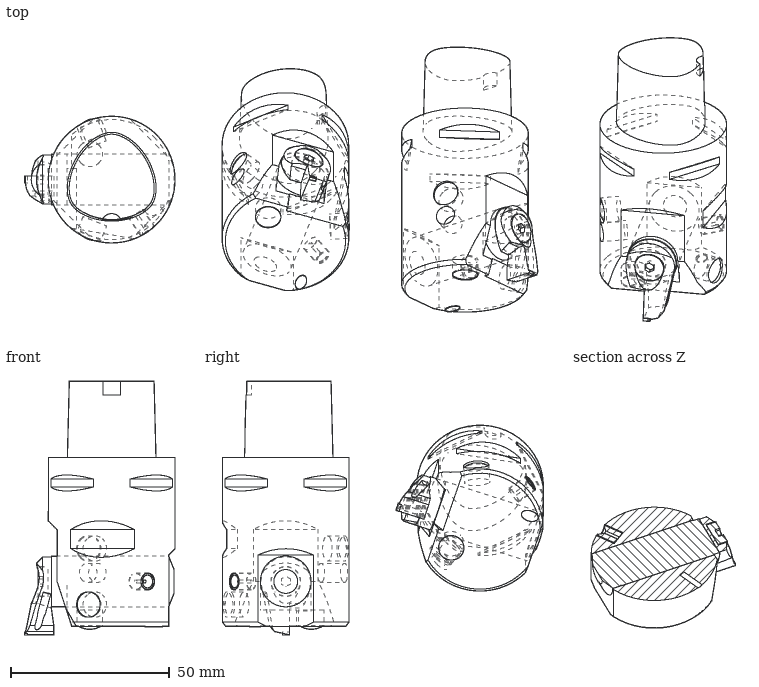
import cadquery as cq
import math


BODY_RADIUS = 20.0
BODY_LENGTH = 53.3
RIM_CHAMFER_RADIAL = 1.0
RIM_CHAMFER_AXIAL = 1.4

SHANK_LENGTH = 24.0
SHANK_BASE_RADIUS = 14.0
SHANK_TAPER = 0.025
LOBE_SWING = 1.8
LOBE_HEIGHT = LOBE_SWING / 2
LOBE_HALF_ANGLE = 29
POINTS_PER_FACE = 9
NOTCH_RADIUS = 3.2
NOTCH_DEPTH = 4.3
NOTCH_CENTER_Y = -13.9

SLOT_Z = -8.1
SLOT_FLOOR = 17.6
SLOT_FLOOR_HEIGHT = 2.5
SLOT_MOUTH_HEIGHT = 5.0
SLOT_ANGLES = (45, 135, 225, 315)
FLAT_FLOOR = 17.2
FLAT_TOP_Z = -20.0
FLAT_DEPTH = BODY_RADIUS - FLAT_FLOOR
CLAMP_FLAT_HEIGHT = 5.9
CLAMP_FLAT_ANGLE = 260.5
DIAL_FLAT_X = 18.0
DIAL_FLAT_TOP_Z = -28.8

BAR_RADIUS = 8.0
BAR_Z = -39.1
BAR_FRONT_X = -19.0
BAR_DIAL_X = 19.7
BAR_DIAL_RADIUS = 3.8
SEAT_X = -14.2

MAIN_SLOPE = 18
STEEP_SLOPE = 30
STEEP_TOP_Z = -47.6
STEEP_EDGE_Y = 3.4

PLUG_RADIUS = 4.0
PLUG_LENGTH = 4.8
DOME_HEIGHT = 1.3
SIDE_PLUG_REACH = 20.2
SIDE_PLUG_ANGLE = 22
FRONT_PLUG_Z = -46.4
BACK_PLUG_Z = -28.7
BOTTOM_PLUG_X = -6.9
BOTTOM_PLUG_Y = 8.1
BOTTOM_PLUG_REACH = 1.0
NOZZLE_ANGLE = -55
NOZZLE_RADIUS = 2.5
NOZZLE_HOLE_RADIUS = 2.6
NOZZLE_LENGTH = 6.4
NOZZLE_FACE = 19.7
NOZZLE_CONE_RADIUS = 2.0
NOZZLE_CONE_DEPTH = 1.5
NOZZLE_BORE_RADIUS = 0.5
SIDE_HOLE_DIAMETER = 6.0
SIDE_HOLE_Z = -36.4
SIDE_HOLE_DEPTH = 8.0
PAD_X = 13.3
PAD_Y = -9.7
PAD_HALF_LENGTH = 2.7
PAD_HALF_WIDTH = 1.7
PAD_HEIGHT = 0.2

HEAD_RADIUS = 7.8
FLANK_TOP_Z = -40.5
TIP_EDGE_Y = 1.2
TIP_Z = -56.0
TIP_X = -27.5
NIB_LENGTH = 1.0
TIP_RELIEF = 0.1
NIB_WIDTH = 2.2
NIB_HEIGHT = 1.0
BLANK_BOTTOM_Z = -58.4
CUTTER_HALF_WIDTH = 8.0
CUTTER_LEVELS = (
    (-29.6, -23.6, -21.3),
    (-34.4, -23.6, -21.3),
    (-39.2, -23.7, -21.4),
    (-44.0, -24.8, -22.4),
    (-48.8, -26.0, -23.4),
    (-53.6, -27.0, -24.1),
    (BLANK_BOTTOM_Z, -27.5, -24.5),
)
BACK_SLOPE_TOP_Z = BAR_Z - BAR_RADIUS
BACK_SLOPE_END_Z = -52.8
BACK_END_X = -18.2
BEVEL_START_X = -21.8
BEVEL_LENGTH = 2.4
LEDGE_FRONT_Z = -46.1
LEDGE_BACK_Z = -47.5
JAW_MIDDLE = (7.0, -43.6)
JAW_CORNER = (5.0, LEDGE_BACK_Z)
TIP_HEEL = (-3.5, -55.0)
FLANK_CORNER = (-5.1, -53.0)
LEDGE_FRONT_X = -23.2
CHANNEL_TOP = (-20.4, -7.3, -42.9)
CHANNEL_END = (-23.8, -4.9, -55.2)
CHANNEL_WIDE_DIAMETER = 2.5
CHANNEL_NARROW_DIAMETER = 2.0
CHANNEL_WIDE_LENGTH = 6.6
CHANNEL_STEP_LENGTH = 1.2

SCREW_DIAMETER = 9.2
SCREW_RADIUS = SCREW_DIAMETER / 2
COUNTERBORE_RADIUS = 4.7
SCREW_FACE_X = -23.3
SCREW_LENGTH = 3.2
HEX_CORNERS = 3.3
HEX_DEPTH = 1.6
RELIEF_LENGTH = 4.8
RELIEF_DROP = 5.2


def box(x0, x1, y0, y1, z0, z1):
    """Box between the given limits."""
    return cq.Workplane("XY").box(x1 - x0, y1 - y0, z1 - z0, centered=False).translate((x0, y0, z0))


def prism_along_y(points, y0, y1):
    """XZ outline extruded from y0 to y1."""
    return cq.Workplane("XZ", origin=(0, y1, 0)).polyline(points).close().extrude(y1 - y0)


def cylinder(radius, length, start, direction):
    """Round bar of the given length, from a start point along a direction."""
    return cq.Workplane(cq.Solid.makeCylinder(radius, length, cq.Vector(*start), cq.Vector(*direction)))


def cone(start_radius, end_radius, length, start, direction):
    """Truncated cone from a start point along a direction."""
    solid = cq.Solid.makeCone(start_radius, end_radius, length, cq.Vector(*start), cq.Vector(*direction))
    return cq.Workplane(solid)


def radial_direction(angle):
    """Unit vector in the XY plane."""
    return (math.cos(math.radians(angle)), math.sin(math.radians(angle)), 0)


def radial_point(angle, radius, z):
    """Point at a distance from the tool axis."""
    unit = radial_direction(angle)
    return (radius * unit[0], radius * unit[1], z)


def reverse(direction):
    """Opposite direction."""
    return tuple(-component for component in direction)


FRONT_PLUG_ANGLE = 270 - SIDE_PLUG_ANGLE
BACK_PLUG_ANGLE = 90 + SIDE_PLUG_ANGLE
PLUG_PLACES = (
    (radial_point(FRONT_PLUG_ANGLE, SIDE_PLUG_REACH, FRONT_PLUG_Z), radial_direction(FRONT_PLUG_ANGLE)),
    (radial_point(BACK_PLUG_ANGLE, SIDE_PLUG_REACH, BACK_PLUG_Z), radial_direction(BACK_PLUG_ANGLE)),
    ((BOTTOM_PLUG_X, BOTTOM_PLUG_Y, -BODY_LENGTH - BOTTOM_PLUG_REACH), (0, 0, -1)),
)


def shank_point(angle, mean_radius, z):
    """Point of the lobed outline whose outward normal has the given angle."""
    t = math.radians(angle)
    support = mean_radius - LOBE_HEIGHT * math.sin(3 * t)
    slope = -3 * LOBE_HEIGHT * math.cos(3 * t)
    x = support * math.cos(t) - slope * math.sin(t)
    y = support * math.sin(t) + slope * math.cos(t)
    return cq.Vector(x, y, z)


def shank_outline(mean_radius, z):
    """Closed outline of three lobes and three flatter sides."""
    edges = []
    for lobe in (90, 210, 330):
        lobe_end = lobe + LOBE_HALF_ANGLE
        next_start = lobe + 120 - LOBE_HALF_ANGLE
        for start, end in ((lobe - LOBE_HALF_ANGLE, lobe_end), (lobe_end, next_start)):
            step = (end - start) / (POINTS_PER_FACE - 1)
            points = [shank_point(start + i * step, mean_radius, z) for i in range(POINTS_PER_FACE)]
            edges.append(cq.Edge.makeSpline(points))
    return cq.Wire.assembleEdges(edges)


def make_shank():
    top_radius = SHANK_BASE_RADIUS - SHANK_TAPER * SHANK_LENGTH
    outlines = [shank_outline(SHANK_BASE_RADIUS, 0), shank_outline(top_radius, SHANK_LENGTH)]
    shank = cq.Workplane(cq.Solid.makeLoft(outlines, True))
    notch_start = (0, NOTCH_CENTER_Y, SHANK_LENGTH - NOTCH_DEPTH)
    return shank.cut(cylinder(NOTCH_RADIUS, NOTCH_DEPTH, notch_start, (0, 0, 1)))


def flat_cutter(floor, floor_bottom_z, floor_top_z, slope_height, angle):
    """Flat cut with sloping ends, its floor facing outward at the given angle."""
    depth = BODY_RADIUS - floor
    clearance = 2
    outside = floor + clearance * depth
    points = [
        (floor, floor_bottom_z),
        (outside, floor_bottom_z - clearance * slope_height),
        (outside, floor_top_z + clearance * slope_height),
        (floor, floor_top_z),
    ]
    tool = prism_along_y(points, -BODY_RADIUS, BODY_RADIUS)
    return tool.rotate((0, 0, 0), (0, 0, 1), angle)


def cutter_side_slopes():
    """Material removed on the -X side, below the top of the cutter flat."""
    below = -2 * BODY_LENGTH
    flat_floor_top = FLAT_TOP_Z - FLAT_DEPTH
    slope_x = -FLAT_FLOOR + (BAR_Z - below) * math.tan(math.radians(MAIN_SLOPE))
    outside = -BODY_RADIUS - FLAT_DEPTH
    main = prism_along_y(
        [
            (-FLAT_FLOOR, flat_floor_top),
            (-FLAT_FLOOR, BAR_Z),
            (slope_x, below),
            (outside, below),
            (outside, flat_floor_top + (-FLAT_FLOOR - outside)),
        ],
        -BODY_RADIUS,
        BODY_RADIUS,
    )
    steep_x = -FLAT_FLOOR + (BAR_Z - STEEP_TOP_Z) * math.tan(math.radians(MAIN_SLOPE))
    steep_end_x = steep_x + (STEEP_TOP_Z - below) * math.tan(math.radians(STEEP_SLOPE))
    steep = prism_along_y(
        [(steep_x, STEEP_TOP_Z), (steep_end_x, below), (outside, below), (outside, STEEP_TOP_Z)],
        -BODY_RADIUS,
        STEEP_EDGE_Y,
    )
    return main.union(steep)


def make_housing():
    profile = [
        (0, 0),
        (BODY_RADIUS, 0),
        (BODY_RADIUS, -BODY_LENGTH + RIM_CHAMFER_AXIAL),
        (BODY_RADIUS - RIM_CHAMFER_RADIAL, -BODY_LENGTH),
        (0, -BODY_LENGTH),
    ]
    body = cq.Workplane("XZ").polyline(profile).close().revolve(360, (0, 0), (0, 1))
    body = body.union(make_shank())

    slot_half = SLOT_FLOOR_HEIGHT / 2
    slot_slope = (SLOT_MOUTH_HEIGHT - SLOT_FLOOR_HEIGHT) / 2
    for angle in SLOT_ANGLES:
        body = body.cut(flat_cutter(SLOT_FLOOR, SLOT_Z - slot_half, SLOT_Z + slot_half, slot_slope, angle))

    top = FLAT_TOP_Z - FLAT_DEPTH
    body = body.cut(flat_cutter(FLAT_FLOOR, top - CLAMP_FLAT_HEIGHT, top, FLAT_DEPTH, CLAMP_FLAT_ANGLE))
    dial_depth = BODY_RADIUS - DIAL_FLAT_X
    dial_top = DIAL_FLAT_TOP_Z - dial_depth
    body = body.cut(flat_cutter(DIAL_FLAT_X, -BODY_LENGTH, dial_top, dial_depth, 0))
    body = body.cut(cutter_side_slopes())

    bore_start = (-BODY_RADIUS, 0, BAR_Z)
    body = body.cut(cylinder(BAR_RADIUS, 2 * BODY_RADIUS, bore_start, (1, 0, 0)))
    body = body.cut(box(-BODY_RADIUS, SEAT_X, -BAR_RADIUS, BAR_RADIUS, -BODY_LENGTH, BAR_Z))

    for apex, direction in PLUG_PLACES:
        inward = reverse(direction)
        body = body.cut(cylinder(PLUG_RADIUS, PLUG_LENGTH + DOME_HEIGHT, apex, inward))

    inward = reverse(radial_direction(NOZZLE_ANGLE))
    nozzle_mouth = radial_point(NOZZLE_ANGLE, BODY_RADIUS, BAR_Z)
    gap = BODY_RADIUS - NOZZLE_FACE
    body = body.cut(cylinder(NOZZLE_HOLE_RADIUS, gap + NOZZLE_LENGTH, nozzle_mouth, inward))
    side_inward = reverse(radial_direction(BACK_PLUG_ANGLE))
    side_mouth = radial_point(BACK_PLUG_ANGLE, BODY_RADIUS, SIDE_HOLE_Z)
    body = body.cut(cylinder(SIDE_HOLE_DIAMETER / 2, SIDE_HOLE_DEPTH, side_mouth, side_inward))

    pad = cq.Workplane("XY", origin=(PAD_X, PAD_Y, -BODY_LENGTH)).ellipse(PAD_HALF_LENGTH, PAD_HALF_WIDTH)
    return body.union(pad.extrude(-PAD_HEIGHT))


def make_plug(apex, direction):
    dome_radius = (PLUG_RADIUS**2 + DOME_HEIGHT**2) / (2 * DOME_HEIGHT)
    half_angle = math.asin(PLUG_RADIUS / dome_radius) / 2
    middle = (dome_radius * math.sin(half_angle), dome_radius * (math.cos(half_angle) - 1))
    plane = cq.Plane(origin=apex, normal=direction)
    profile = (
        cq.Workplane("XZ")
        .moveTo(0, 0)
        .threePointArc(middle, (PLUG_RADIUS, -DOME_HEIGHT))
        .lineTo(PLUG_RADIUS, -DOME_HEIGHT - PLUG_LENGTH)
        .lineTo(0, -DOME_HEIGHT - PLUG_LENGTH)
        .close()
    )
    return profile.revolve(360, (0, 0), (0, 1)).val().moved(cq.Location(plane))


def make_nozzle():
    inward = reverse(radial_direction(NOZZLE_ANGLE))
    face = radial_point(NOZZLE_ANGLE, NOZZLE_FACE, BAR_Z)
    nozzle = cylinder(NOZZLE_RADIUS, NOZZLE_LENGTH, face, inward)
    nozzle = nozzle.cut(cone(NOZZLE_CONE_RADIUS, NOZZLE_BORE_RADIUS, NOZZLE_CONE_DEPTH, face, inward))
    return nozzle.cut(cylinder(NOZZLE_BORE_RADIUS, NOZZLE_LENGTH, face, inward))


def make_bar():
    bar = cylinder(BAR_RADIUS, DIAL_FLAT_X - BAR_FRONT_X, (BAR_FRONT_X, 0, BAR_Z), (1, 0, 0))
    dial_height = BAR_DIAL_X - DIAL_FLAT_X
    dial = cone(BAR_RADIUS, BAR_DIAL_RADIUS, dial_height, (DIAL_FLAT_X, 0, BAR_Z), (1, 0, 0))
    return bar.union(dial)


def front_section(z, crown_x, edge_x):
    """Level section with a curved front, reaching past the back face."""
    return (
        cq.Workplane("XY", origin=(0, 0, z))
        .moveTo(BACK_END_X, -CUTTER_HALF_WIDTH)
        .lineTo(edge_x, -CUTTER_HALF_WIDTH)
        .threePointArc((crown_x, 0), (edge_x, CUTTER_HALF_WIDTH))
        .lineTo(BACK_END_X, CUTTER_HALF_WIDTH)
        .close()
        .val()
    )


def back_cutter():
    """Material behind the back face of the cutter."""
    return prism_along_y(
        [
            (BAR_FRONT_X, 0),
            (BAR_FRONT_X, BACK_SLOPE_TOP_Z),
            (BACK_END_X, BACK_SLOPE_END_Z),
            (BACK_END_X, BLANK_BOTTOM_Z),
            (0, BLANK_BOTTOM_Z),
            (0, 0),
        ],
        -CUTTER_HALF_WIDTH,
        CUTTER_HALF_WIDTH,
    )


def bevel_cutter():
    """Ring left outside a 45 degree cone, above the middle of the head."""
    start = (BEVEL_START_X, 0, BAR_Z)
    outer = cylinder(CUTTER_HALF_WIDTH, BEVEL_LENGTH, start, (-1, 0, 0))
    inner = cone(HEAD_RADIUS, HEAD_RADIUS - BEVEL_LENGTH, BEVEL_LENGTH, start, (-1, 0, 0))
    above = box(TIP_X, 0, -CUTTER_HALF_WIDTH, CUTTER_HALF_WIDTH, BAR_Z, 0)
    return outer.cut(inner).intersect(above)


def screw_relief():
    """Slanting round passage in front of the screw, sinking as it leaves the face."""
    face = cq.Workplane("YZ", origin=(SCREW_FACE_X, 0, BAR_Z)).circle(COUNTERBORE_RADIUS).val()
    outer = face.moved(cq.Location(cq.Vector(-RELIEF_LENGTH, 0, -RELIEF_DROP)))
    return cq.Workplane(cq.Solid.makeLoft([face, outer], True))


def cutter_outline():
    """Outline in the YZ plane, extruded through the whole cutter."""
    flank_y = -math.sqrt(HEAD_RADIUS**2 - (BAR_Z - FLANK_TOP_Z) ** 2)
    return (
        cq.Workplane("YZ", origin=(TIP_X, 0, 0))
        .moveTo(flank_y, FLANK_TOP_Z)
        .threePointArc((0, BAR_Z + HEAD_RADIUS), (HEAD_RADIUS, BAR_Z))
        .threePointArc(JAW_MIDDLE, JAW_CORNER)
        .lineTo(TIP_EDGE_Y, LEDGE_BACK_Z)
        .lineTo(TIP_EDGE_Y, TIP_Z + TIP_RELIEF)
        .lineTo(*TIP_HEEL)
        .lineTo(*FLANK_CORNER)
        .close()
        .extrude(BODY_RADIUS)
    )


def make_cutter():
    sections = [front_section(*level) for level in CUTTER_LEVELS]
    cutter = cq.Workplane(cq.Solid.makeLoft(sections)).intersect(cutter_outline())
    cutter = cutter.cut(back_cutter()).cut(bevel_cutter())

    ledge = prism_along_y(
        [
            (TIP_X, LEDGE_FRONT_Z),
            (LEDGE_FRONT_X, LEDGE_FRONT_Z),
            (BAR_FRONT_X, LEDGE_BACK_Z),
            (TIP_X, LEDGE_BACK_Z),
        ],
        TIP_EDGE_Y,
        HEAD_RADIUS,
    )
    cutter = cutter.cut(ledge)

    wide = CHANNEL_WIDE_DIAMETER / 2
    narrow = CHANNEL_NARROW_DIAMETER / 2
    top = cq.Vector(*CHANNEL_TOP)
    path = cq.Vector(*CHANNEL_END) - top
    along = path.toTuple()
    step = (top + path.normalized() * CHANNEL_WIDE_LENGTH).toTuple()
    cutter = cutter.cut(cylinder(wide, CHANNEL_WIDE_LENGTH, CHANNEL_TOP, along))
    cutter = cutter.cut(cone(wide, narrow, CHANNEL_STEP_LENGTH, step, along))
    cutter = cutter.cut(cylinder(narrow, path.Length, CHANNEL_TOP, along))

    screw_face = (SCREW_FACE_X, 0, BAR_Z)
    cutter = cutter.cut(screw_relief())
    cutter = cutter.cut(cylinder(COUNTERBORE_RADIUS, SCREW_LENGTH, screw_face, (1, 0, 0)))
    access_start = (SCREW_FACE_X - RELIEF_LENGTH, 0, BAR_Z)
    cutter = cutter.cut(cylinder(SCREW_RADIUS, RELIEF_LENGTH, access_start, (1, 0, 0)))

    nib = box(TIP_X, TIP_X + NIB_LENGTH, TIP_EDGE_Y - NIB_WIDTH, TIP_EDGE_Y, TIP_Z, TIP_Z + NIB_HEIGHT)
    return cutter.union(nib)


def make_screw():
    screw = cylinder(SCREW_RADIUS, SCREW_LENGTH, (SCREW_FACE_X, 0, BAR_Z), (1, 0, 0))
    socket = cq.Workplane("YZ", origin=(SCREW_FACE_X, 0, BAR_Z)).polygon(6, HEX_CORNERS).extrude(HEX_DEPTH)
    return screw.cut(socket.rotate((0, 0, BAR_Z), (1, 0, BAR_Z), 90))


housing = make_housing()
bar = make_bar()
cutter = make_cutter()
screw = make_screw()
nozzle = make_nozzle()
plugs = [make_plug(apex, direction) for apex, direction in PLUG_PLACES]

result = cq.Compound.makeCompound(
    [housing.val(), bar.val(), cutter.val(), screw.val(), nozzle.val(), *plugs]
)